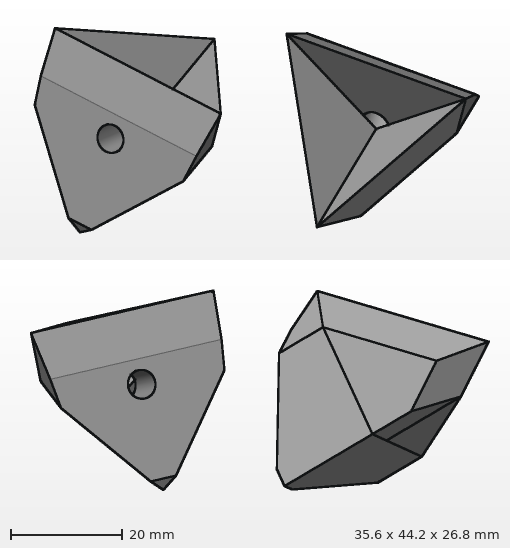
import cadquery as cq
import math

ROOT2 = math.sqrt(2)

total_width = 35.57
total_height = 26.8
total_length = 44.2
corner_tail = 8.35
hole_diameter = 5.2
hole_height = 16.65

half_width = total_width / 2
inner_edge_height = total_height - half_width
wall_thickness = inner_edge_height / ROOT2
inner_leg = half_width * ROOT2
wall_reach = wall_thickness + inner_leg
front_depth = total_length - inner_leg
front_slope = ROOT2
top_bevel = wall_thickness
bevel_foot_height = total_height - top_bevel
tip_height = bevel_foot_height - front_slope * (front_depth - top_bevel)

side_taper = math.tan(math.pi / 4 - math.atan(1 / ROOT2))
shoulder = (half_width - side_taper * total_height) / (1 - side_taper)
cutter_size = 4 * total_length

wall_frame = cq.Location(cq.Plane(origin=(0, 0, 0), xDir=(-1, 0, 1), normal=(0, 1, 0)))


def beyond_plane(point, normal):
    """Large block filling the space on the normal's side of a plane."""
    plane = cq.Plane(origin=point, normal=normal)
    return cq.Workplane(plane).rect(cutter_size, cutter_size).extrude(cutter_size)


def make_left_wall():
    """Bevelled triangular wall that butts against the right wall."""
    wall = cq.Workplane("XY").box(inner_leg, wall_thickness, wall_reach, centered=False)
    wall = wall.translate((wall_thickness, 0, 0))
    wall = wall.cut(beyond_plane((wall_reach, wall_thickness, 0), (1, -ROOT2, 1)))
    return wall.val().moved(wall_frame)


def make_right_wall():
    """Bevelled triangular wall that includes the outer V edge."""
    wall = cq.Workplane("XY").box(wall_thickness, wall_reach, wall_reach, centered=False)
    wall = wall.cut(beyond_plane((wall_thickness, wall_reach, 0), (-ROOT2, 1, 1)))
    across_slope = (inner_leg - corner_tail) / wall_thickness - ROOT2
    apex = (wall_thickness, wall_thickness, inner_leg)
    wall = wall.cut(beyond_plane(apex, (-across_slope, -ROOT2, 1)))
    return wall.val().moved(wall_frame)


def make_front_block():
    """V-bottomed block with a bevelled top, a sloping front and a square-set hole."""
    outline = [
        (0, 0),
        (shoulder, shoulder),
        (half_width, total_height),
        (-half_width, total_height),
        (-shoulder, shoulder),
    ]
    profile = [
        (0, 0),
        (0, total_height),
        (-top_bevel, bevel_foot_height),
        (-front_depth, tip_height),
        (-front_depth, 0),
    ]
    block = cq.Workplane("XZ").polyline(outline).close().extrude(front_depth)
    side = cq.Workplane("YZ").polyline(profile).close().extrude(half_width, both=True)
    block = block.intersect(side)

    hole_y = -top_bevel - (bevel_foot_height - hole_height) / front_slope
    hole_plane = cq.Plane(origin=(0, hole_y, hole_height), xDir=(1, 0, 0), normal=(0, front_slope, -1))
    hole = cq.Workplane(hole_plane).circle(hole_diameter / 2).extrude(total_length, both=True)
    return block.cut(hole).val()


left_wall = make_left_wall()
right_wall = make_right_wall()
front_block = make_front_block()


def only_solid(shape):
    """The single solid held by a body."""
    return shape.Solids()[0]


result = cq.Compound.makeCompound([only_solid(body) for body in (left_wall, right_wall, front_block)])